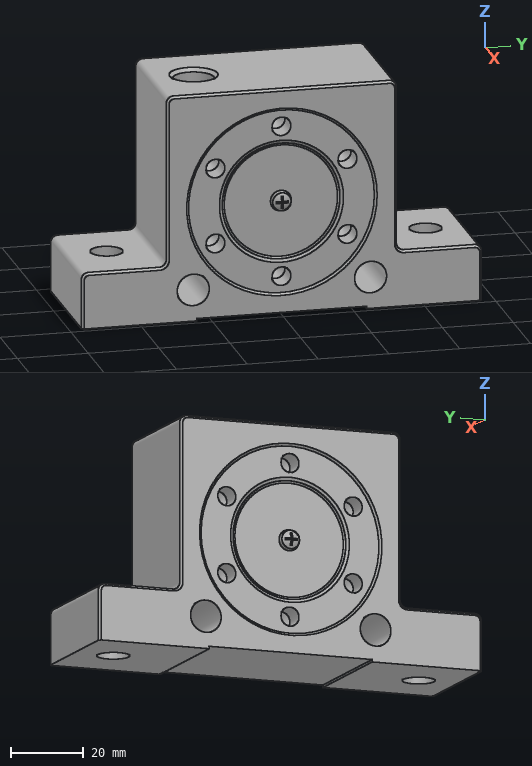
import cadquery as cq
import math

LENGTH = 113.0
HEIGHT = 65.0
BLOCK_LENGTH = HEIGHT
BLOCK_WIDTH = 37.0
FOOT_HEIGHT = 16.0
CORNER_RADIUS = 2.0
EDGE_CHAMFER = 0.7

RELIEF_LENGTH = 48.0
RELIEF_DEPTH = 0.7

MOUNT_HOLE_DIAMETER = 9.0
FOOT_HOLE_SPACING = 90.1
CROSS_HOLE_SPACING = 50.1
CROSS_HOLE_HEIGHT = 9.0

INLET_Y = -20.5
INLET_DIAMETER = 11.4
INLET_CHAMFER = 1.0
INLET_DEPTH = 12.0
DRILL_POINT_ANGLE = 118.0
NOZZLE_DIAMETER = 4.0
NOZZLE_DEPTH = 6.8

COVER_CENTER_HEIGHT = HEIGHT / 2
COVER_DIAMETER = 52.4
COVER_FLARE = 0.7
COVER_RECESS = 0.6
PLATE_SEAT_DIAMETER = 33.2
PLATE_SEAT_FLARE = 0.9
PLATE_SEAT_DEPTH = 0.5
PLATE_RIM_RECESS = 0.9
PLATE_DIAMETER = 32.0
PLATE_RECESS = 1.2
COVER_HOLE_DIAMETER = 5.3
COVER_HOLE_COUNT = 6
COVER_HOLE_CIRCLE = 43.0
COVER_HOLE_DEPTH = 6.8

SCREW_BASE_DIAMETER = 5.9
SCREW_DOME_DIAMETER = 5.2
SCREW_PROTRUSION = 0.85
SLOT_LENGTH = 3.4
SLOT_WIDTH = 0.5
SLOT_DEPTH = 0.6

HALF_WIDTH = BLOCK_WIDTH / 2


def cylinder_along_x(diameter, x_start, length, y, z):
    return cq.Workplane("YZ", origin=(x_start, y, z)).circle(diameter / 2).extrude(length)


def drill_point_height(radius):
    return radius / math.tan(math.radians(DRILL_POINT_ANGLE / 2))


def make_block():
    """Inverted-T block with rounded corners and chamfered side outlines."""
    half = LENGTH / 2
    step = BLOCK_LENGTH / 2
    block = (
        cq.Workplane("YZ")
        .moveTo(-half, 0)
        .lineTo(half, 0)
        .lineTo(half, FOOT_HEIGHT)
        .lineTo(step, FOOT_HEIGHT)
        .lineTo(step, HEIGHT)
        .lineTo(-step, HEIGHT)
        .lineTo(-step, FOOT_HEIGHT)
        .lineTo(-half, FOOT_HEIGHT)
        .close()
        .extrude(HALF_WIDTH, both=True)
    )
    block = block.edges("|X").edges("not <Z").fillet(CORNER_RADIUS)
    block = block.faces("<X or >X").edges("not <Z").chamfer(EDGE_CHAMFER)
    relief = cq.Workplane("XY").box(
        BLOCK_WIDTH, RELIEF_LENGTH, RELIEF_DEPTH, centered=(True, True, False)
    )
    return block.cut(relief)


def cut_mounting_holes(body):
    for side in (-1, 1):
        foot_hole = (
            cq.Workplane("XY")
            .center(0, side * FOOT_HOLE_SPACING / 2)
            .circle(MOUNT_HOLE_DIAMETER / 2)
            .extrude(FOOT_HEIGHT)
        )
        cross_hole = cylinder_along_x(
            MOUNT_HOLE_DIAMETER,
            -HALF_WIDTH,
            BLOCK_WIDTH,
            y=side * CROSS_HOLE_SPACING / 2,
            z=CROSS_HOLE_HEIGHT,
        )
        body = body.cut(foot_hole).cut(cross_hole)
    return body


def make_inlet():
    """Cutter for the chamfered inlet bore, its drill point and the nozzle below."""
    bore_radius = INLET_DIAMETER / 2
    nozzle_radius = NOZZLE_DIAMETER / 2
    bore_floor = HEIGHT - INLET_DEPTH
    cone_floor = bore_floor - drill_point_height(bore_radius - nozzle_radius)
    nozzle_floor = cone_floor - NOZZLE_DEPTH
    return (
        cq.Workplane("XZ")
        .moveTo(0, nozzle_floor)
        .lineTo(nozzle_radius, nozzle_floor)
        .lineTo(nozzle_radius, cone_floor)
        .lineTo(bore_radius, bore_floor)
        .lineTo(bore_radius, HEIGHT - INLET_CHAMFER)
        .lineTo(bore_radius + INLET_CHAMFER, HEIGHT)
        .lineTo(0, HEIGHT)
        .close()
        .revolve(360, (0, 0), (0, 1))
        .translate((0, INLET_Y, 0))
    )


def revolve_about_cover_axis(profile):
    """Revolve an (x, radius) outline about the cover axis."""
    return (
        cq.Workplane("XY")
        .polyline(profile)
        .close()
        .revolve(360, (0, 0), (1, 0))
        .translate((0, 0, COVER_CENTER_HEIGHT))
    )


def make_cover_recess():
    """Cutter for the stepped, chamfered recess in the -X side face."""
    cover_radius = COVER_DIAMETER / 2
    seat_radius = PLATE_SEAT_DIAMETER / 2
    face = -HALF_WIDTH
    cover_floor = face + COVER_RECESS
    plate_floor = face + PLATE_RECESS
    return revolve_about_cover_axis(
        [
            (face, 0),
            (face, cover_radius + COVER_FLARE),
            (cover_floor, cover_radius),
            (cover_floor, seat_radius + PLATE_SEAT_FLARE),
            (cover_floor + PLATE_SEAT_DEPTH, seat_radius),
            (face + PLATE_RIM_RECESS, seat_radius),
            (plate_floor, PLATE_DIAMETER / 2),
            (plate_floor, 0),
        ]
    )


def make_cover_holes():
    """Cutters for the ring of blind holes with drill points in the -X cover."""
    radius = COVER_HOLE_DIAMETER / 2
    start = -HALF_WIDTH + COVER_RECESS
    floor = start + COVER_HOLE_DEPTH
    hole = revolve_about_cover_axis(
        [(start, 0), (start, radius), (floor, radius), (floor + drill_point_height(radius), 0)]
    )
    holes = cq.Workplane("XY")
    for i in range(COVER_HOLE_COUNT):
        angle = 2 * math.pi * i / COVER_HOLE_COUNT
        y = COVER_HOLE_CIRCLE / 2 * math.sin(angle)
        z = COVER_HOLE_CIRCLE / 2 * math.cos(angle)
        holes = holes.add(hole.translate((0, y, z)))
    return holes.combine()


def make_screw():
    """Domed screw head with a cross slot, standing on the -X plate."""
    base_radius = SCREW_BASE_DIAMETER / 2
    dome_edge_radius = SCREW_DOME_DIAMETER / 2
    face = -HALF_WIDTH
    tip = face - SCREW_PROTRUSION
    plate = face + PLATE_RECESS
    dome_radius = (dome_edge_radius**2 + SCREW_PROTRUSION**2) / (2 * SCREW_PROTRUSION)
    half_angle = math.asin(dome_edge_radius / dome_radius) / 2
    dome_middle = (
        tip + dome_radius * (1 - math.cos(half_angle)),
        dome_radius * math.sin(half_angle),
    )
    screw = (
        cq.Workplane("XY")
        .moveTo(plate, 0)
        .lineTo(plate, base_radius)
        .lineTo(face, dome_edge_radius)
        .threePointArc(dome_middle, (tip, 0))
        .close()
        .revolve(360, (0, 0), (1, 0))
        .translate((0, 0, COVER_CENTER_HEIGHT))
    )
    for size in ((SLOT_LENGTH, SLOT_WIDTH), (SLOT_WIDTH, SLOT_LENGTH)):
        slot = cq.Workplane("YZ", origin=(tip, 0, COVER_CENTER_HEIGHT)).rect(*size).extrude(SLOT_DEPTH)
        screw = screw.cut(slot)
    return screw


def add_covers(body):
    recess = make_cover_recess()
    holes = make_cover_holes()
    screw = make_screw()
    for cutter in (recess, holes):
        body = body.cut(cutter).cut(cutter.mirror("YZ"))
    return body.union(screw).union(screw.mirror("YZ"))


body = make_block()
body = cut_mounting_holes(body)
body = body.cut(make_inlet())
result = add_covers(body)